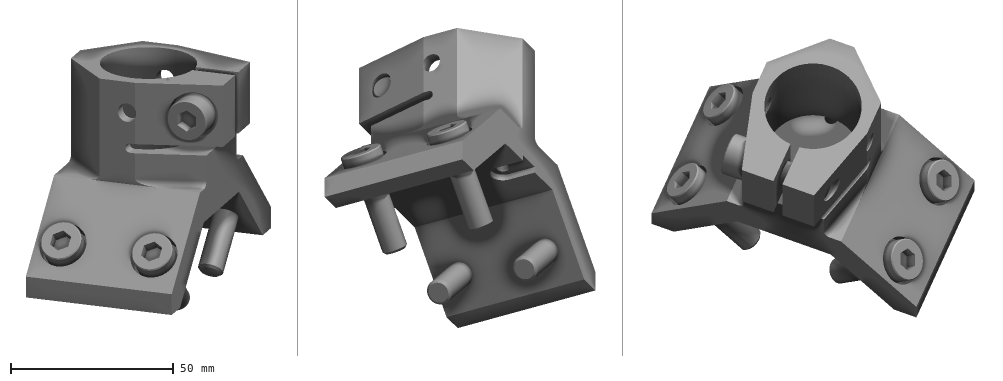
import cadquery as cq
import math

BASE_WIDTH = 48.0
BASE_SPAN = 88.0
ROOF_HALF = 19.0
ROOF_TOP = 31.8
ROOF_BOTTOM = 21.0
WING_THICKNESS = 10.0
SLOPE = 45.0

TOWER_TOP = 65.0
CORNER_CUT = 15.0
ARM_END_X = 28.95
ARM_END_HALF = 12.0
TAPER_ANGLE = 15.0
FOOT_FILLET = 1.9
BORE_DIAMETER = 30.0
BORE_FLOOR = ROOF_TOP
CLAMP_GAP = 3.0
RELIEF_BOTTOM = 42.1
RELIEF_TIP_X = -0.5
CROSS_PIN_DIAMETER = 6.0
CROSS_AXIS_Z = 55.0

DRAIN_DIAMETER = 4.05
DRAIN_X = -BORE_DIAMETER / 2
CHANNEL_WIDTH = 8.0
CHANNEL_DEPTH = 2.0

SHANK_DIAMETER = 8.0
SHANK_LENGTH = 25.0
SHANK_CHAMFER = 0.8
HEAD_DIAMETER = 13.0
HEAD_HEIGHT = 8.0
HEAD_CHAMFER = 0.35
SOCKET_FLATS = 6.0
SOCKET_DEPTH = 4.0
COUNTERBORE_DIAMETER = 15.0
SCREW_HOLE_LENGTH = 2 * ROOF_HALF

CLAMP_SCREW_X = 20.0
CLAMP_SCREW_TILT = 90.0
BASE_SCREW_X = 15.0
BASE_SCREW_Y = 35.4
BASE_COUNTERBORE_DEPTH = 5.0

half_width = BASE_WIDTH / 2
half_span = BASE_SPAN / 2

wing_top_sum = ROOF_HALF + ROOF_TOP
wing_bottom_sum = wing_top_sum - WING_THICKNESS / math.cos(math.radians(SLOPE))


def place(shape, location):
    """Turn a shape about X by the location's angle, then move it to the location's point."""
    point, angle = location
    return shape.rotate((0, 0, 0), (1, 0, 0), angle).translate(point)


def base_screw_locations():
    """Centres of the head seats in the wings, each with the tilt of its screw axis."""
    seat_shift = BASE_COUNTERBORE_DEPTH * math.sin(math.radians(SLOPE))
    seat_y = BASE_SCREW_Y - seat_shift
    seat_z = wing_top_sum - BASE_SCREW_Y - seat_shift
    return [
        ((x, side * seat_y, seat_z), -side * SLOPE)
        for x in (-BASE_SCREW_X, BASE_SCREW_X)
        for side in (-1, 1)
    ]


clamp_screw_location = ((CLAMP_SCREW_X, -ARM_END_HALF, CROSS_AXIS_Z), CLAMP_SCREW_TILT)
screw_locations = base_screw_locations() + [clamp_screw_location]


def make_base():
    right_side = [
        (ROOF_HALF, ROOF_TOP),
        (half_span, wing_top_sum - half_span),
        (half_span, 0),
        (wing_bottom_sum, 0),
        (wing_bottom_sum - ROOF_BOTTOM, ROOF_BOTTOM),
    ]
    left_side = [(-y, z) for y, z in reversed(right_side)]
    return (
        cq.Workplane("YZ", origin=(-half_width, 0, 0))
        .polyline(right_side + left_side)
        .close()
        .extrude(BASE_WIDTH)
    )


def tower_prism(bottom, top):
    """Tower outline between two heights: cut corners at -X, arms tapering towards +X."""
    taper_run = (ROOF_HALF - ARM_END_HALF) / math.tan(math.radians(TAPER_ANGLE))
    back_side = [
        (ARM_END_X, ARM_END_HALF),
        (ARM_END_X - taper_run, ROOF_HALF),
        (CORNER_CUT - half_width, ROOF_HALF),
        (-half_width, ROOF_HALF - CORNER_CUT),
    ]
    front_side = [(x, -y) for x, y in reversed(back_side)]
    return (
        cq.Workplane("XY", origin=(0, 0, bottom))
        .polyline(back_side + front_side)
        .close()
        .extrude(top - bottom)
    )


def add_tower(base):
    """Lower tower, flush with the base and filleted at its foot, then the overhanging arms."""
    arm_bottom = RELIEF_BOTTOM + CLAMP_GAP
    above_base = cq.Workplane("XY").box(BASE_WIDTH, BASE_SPAN, TOWER_TOP, centered=(True, True, False))
    lower_tower = tower_prism(ROOF_TOP, arm_bottom).intersect(above_base)
    body = base.union(lower_tower)
    foot_edges = body.edges("#Z").edges("not(|X or |Y)").edges("<Z")
    body = foot_edges.fillet(FOOT_FILLET)
    return body.union(tower_prism(arm_bottom, TOWER_TOP))


def bore_cutter():
    return (
        cq.Workplane("XY", origin=(0, 0, BORE_FLOOR))
        .circle(BORE_DIAMETER / 2)
        .extrude(TOWER_TOP - BORE_FLOOR)
    )


def clamp_gap_cutter():
    """Gap between the arms, from the bore axis outwards and down to the relief slot."""
    return cq.Workplane("XY", origin=(0, 0, RELIEF_BOTTOM)).box(
        ARM_END_X, CLAMP_GAP, TOWER_TOP - RELIEF_BOTTOM, centered=(False, True, False)
    )


def relief_slot_cutter():
    """Round-ended slot under the arms, through the whole tower along Y."""
    radius = CLAMP_GAP / 2
    round_x = RELIEF_TIP_X + radius
    return (
        cq.Workplane("XZ", origin=(0, ROOF_HALF, RELIEF_BOTTOM))
        .moveTo(ARM_END_X, 0)
        .lineTo(round_x, 0)
        .threePointArc((RELIEF_TIP_X, radius), (round_x, CLAMP_GAP))
        .lineTo(ARM_END_X, CLAMP_GAP)
        .close()
        .extrude(2 * ROOF_HALF)
    )


def cross_pin_cutter():
    return (
        cq.Workplane("XZ", origin=(0, ROOF_HALF, CROSS_AXIS_Z))
        .circle(CROSS_PIN_DIAMETER / 2)
        .extrude(2 * ROOF_HALF)
    )


def drain_cutter():
    """Drain hole below the bore with its round-ended channel, open at the -X face."""
    hole = (
        cq.Workplane("XY", origin=(DRAIN_X, 0, ROOF_BOTTOM))
        .circle(DRAIN_DIAMETER / 2)
        .extrude(BORE_FLOOR - ROOF_BOTTOM)
    )
    radius = CHANNEL_WIDTH / 2
    channel = (
        cq.Workplane("XY", origin=(0, 0, ROOF_BOTTOM))
        .moveTo(-half_width, -radius)
        .lineTo(DRAIN_X, -radius)
        .threePointArc((DRAIN_X + radius, 0), (DRAIN_X, radius))
        .lineTo(-half_width, radius)
        .close()
        .extrude(CHANNEL_DEPTH)
    )
    return hole.union(channel)


def screw_hole_cutter():
    """Through hole below the head seat at z = 0 and counterbore above it."""
    hole = cq.Workplane("XY").circle(SHANK_DIAMETER / 2).extrude(-SCREW_HOLE_LENGTH)
    return hole.union(cq.Workplane("XY").circle(COUNTERBORE_DIAMETER / 2).extrude(HEAD_HEIGHT))


def make_bracket():
    bracket = add_tower(make_base())
    bracket = bracket.cut(bore_cutter())
    bracket = bracket.cut(clamp_gap_cutter())
    bracket = bracket.cut(relief_slot_cutter())
    bracket = bracket.cut(cross_pin_cutter())
    bracket = bracket.cut(drain_cutter())
    for location in screw_locations:
        bracket = bracket.cut(place(screw_hole_cutter(), location))
    return bracket


def make_screw():
    """Socket head screw along Z, its head seated at z = 0 with two socket corners along Y."""
    shank = (
        cq.Workplane("XY")
        .circle(SHANK_DIAMETER / 2)
        .extrude(-SHANK_LENGTH)
        .faces("<Z")
        .chamfer(SHANK_CHAMFER)
    )
    head = (
        cq.Workplane("XY")
        .circle(HEAD_DIAMETER / 2)
        .extrude(HEAD_HEIGHT)
        .faces(">Z")
        .chamfer(HEAD_CHAMFER)
    )
    socket_corners = SOCKET_FLATS / math.cos(math.pi / 6)
    socket = (
        cq.Workplane("XY", origin=(0, 0, HEAD_HEIGHT - SOCKET_DEPTH))
        .transformed(rotate=(0, 0, 90))
        .polygon(6, socket_corners)
        .extrude(SOCKET_DEPTH)
    )
    return shank.union(head).cut(socket)


bracket = make_bracket()
screws = [place(make_screw(), location) for location in screw_locations]

result = cq.Compound.makeCompound([bracket.val(), *[screw.val() for screw in screws]])